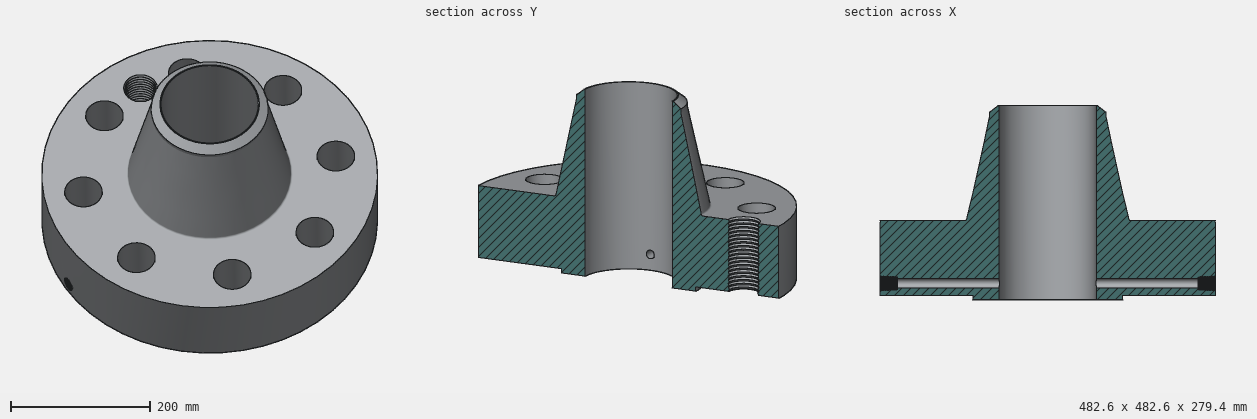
import math

import cadquery as cq

INCH = 25.4

flange_diameter = 19 * INCH
flange_thickness = 4.25 * INCH
face_diameter = 8.5 * INCH
face_height = 0.25 * INCH
overall_height = 11 * INCH
bore_diameter = 5.501 * INCH

hub_base_diameter = 9.25 * INCH
neck_diameter = 6.625 * INCH
hub_fillet_radius = 3.0
neck_straight_height = 6.0
weld_land = 1.6
weld_bevel_angle = 37.5

bolt_count = 8
bolt_circle_diameter = 14.5 * INCH
bolt_hole_diameter = 2.125 * INCH

jack_major_diameter = 48.4
jack_pitch = INCH / 4.5
jack_minor_diameter = 44.7

tap_height = 15 / 16 * INCH
tap_hole_diameter = 0.5 * INCH
tap_major_diameter = 0.81 * INCH
tap_pitch = INCH / 14
tap_thread_depth = 0.8 * tap_pitch
tap_thread_turns = 14
tap_taper = 1 / 32

flange_top = face_height + flange_thickness


def make_body():
    """Revolve the flange, hub and raised face, then fillet the hub root."""
    bore_radius = bore_diameter / 2
    face_radius = face_diameter / 2
    flange_radius = flange_diameter / 2
    neck_radius = neck_diameter / 2
    land_radius = bore_radius + weld_land
    bevel_height = (neck_radius - land_radius) * math.tan(math.radians(weld_bevel_angle))
    bevel_bottom = overall_height - bevel_height
    body = (
        cq.Workplane("XZ")
        .moveTo(bore_radius, 0)
        .lineTo(face_radius, 0)
        .lineTo(face_radius, face_height)
        .lineTo(flange_radius, face_height)
        .lineTo(flange_radius, flange_top)
        .lineTo(hub_base_diameter / 2, flange_top)
        .lineTo(neck_radius, bevel_bottom - neck_straight_height)
        .lineTo(neck_radius, bevel_bottom)
        .lineTo(land_radius, overall_height)
        .lineTo(bore_radius, overall_height)
        .close()
        .revolve(360, (0, 0, 0), (0, 1, 0))
    )
    hub_root = cq.selectors.RadiusNthSelector(-2)
    return body.edges("%CIRCLE").edges(hub_root).fillet(hub_fillet_radius)


def make_bolt_holes():
    """Cylinders for the ring of bolt holes."""
    return (
        cq.Workplane("XY")
        .polarArray(bolt_circle_diameter / 2, 180 / bolt_count, 360, bolt_count)
        .circle(bolt_hole_diameter / 2)
        .extrude(flange_top)
    )


def make_thread_cutter(major_diameter, pitch, thread_depth, turns, taper=0):
    """Ringed V-thread cutter starting at its full diameter and running along -Z."""
    root_radius = major_diameter / 2
    crest_radius = root_radius - thread_depth
    profile = cq.Workplane("XZ").lineTo(root_radius, 0)
    for turn in range(turns):
        crest_depth = (turn + 0.5) * pitch
        root_depth = (turn + 1) * pitch
        profile = profile.lineTo(crest_radius - taper * crest_depth, -crest_depth)
        profile = profile.lineTo(root_radius - taper * root_depth, -root_depth)
    return profile.lineTo(0, -turns * pitch).close().revolve(360, (0, 0, 0), (0, 1, 0))


def make_jackscrew_hole():
    """Threaded cutter that runs right through the flange."""
    turns = math.ceil(flange_thickness / jack_pitch)
    thread_depth = (jack_major_diameter - jack_minor_diameter) / 2
    cutter = make_thread_cutter(jack_major_diameter, jack_pitch, thread_depth, turns)
    return cutter.translate((-bolt_circle_diameter / 2, 0, flange_top))


def make_pressure_tap():
    """Radial hole on the -Y side from the rim to the bore, threaded at the rim."""
    thread = make_thread_cutter(
        tap_major_diameter, tap_pitch, tap_thread_depth, tap_thread_turns, tap_taper
    )
    hole = cq.Workplane("XY").circle(tap_hole_diameter / 2).extrude(-flange_diameter / 2)
    cutter = thread.union(hole).rotate((0, 0, 0), (1, 0, 0), 90)
    return cutter.translate((0, -flange_diameter / 2, tap_height))


result = make_body().cut(make_bolt_holes()).cut(make_jackscrew_hole())
pressure_tap = make_pressure_tap()
for side_angle in (0, 180):
    result = result.cut(pressure_tap.rotate((0, 0, 0), (0, 0, 1), side_angle))